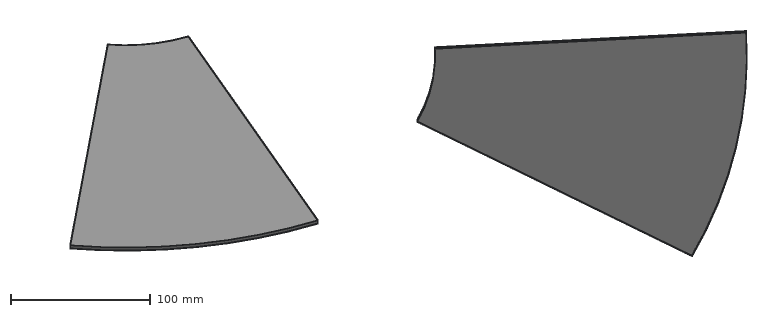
import cadquery as cq
import math

outer_radius = 332.5
inner_radius = 108.5
thickness = 3.0
lower_angle = -30.6
upper_angle = 0.85
middle_angle = (lower_angle + upper_angle) / 2


def polar_point(radius, angle):
    """Point at the given radius and angle in degrees."""
    radians = math.radians(angle)
    return (radius * math.cos(radians), radius * math.sin(radians))


result = (
    cq.Workplane("XY")
    .moveTo(*polar_point(inner_radius, lower_angle))
    .lineTo(*polar_point(outer_radius, lower_angle))
    .threePointArc(
        polar_point(outer_radius, middle_angle),
        polar_point(outer_radius, upper_angle),
    )
    .lineTo(*polar_point(inner_radius, upper_angle))
    .threePointArc(
        polar_point(inner_radius, middle_angle),
        polar_point(inner_radius, lower_angle),
    )
    .close()
    .extrude(thickness)
)